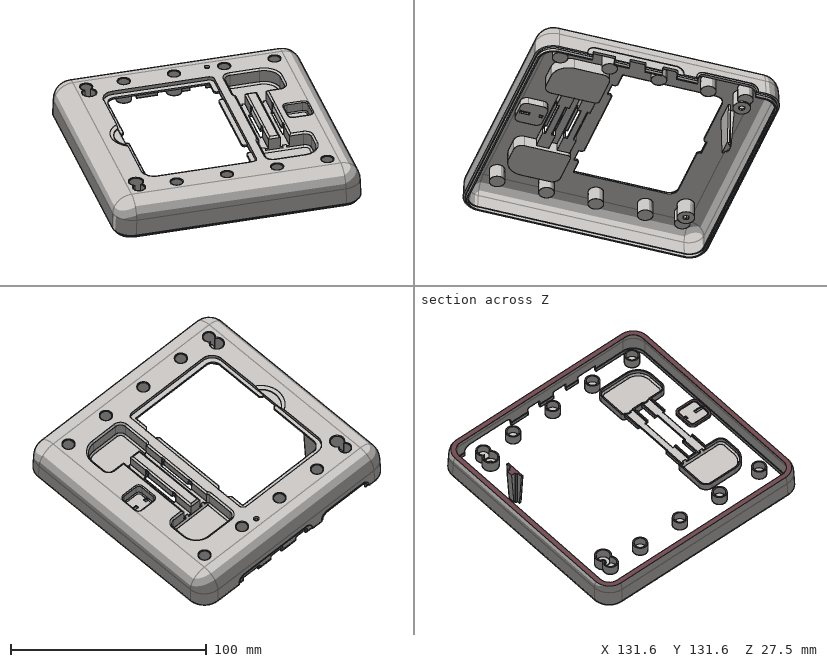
import cadquery as cq
import math

BASE_SIZE = 131.64
TOP_Z = 20.5
WALL_BASE_Z = 2.1
WALL_DRAFT = 2.0
EDGE_RADIUS = 10.0
WALL_THICKNESS = 2.0
PLATE_THICKNESS = 3.0
BUCKET_WALL = 1.0
INNER_PLATE_Z = TOP_Z - PLATE_THICKNESS
OVERCUT = 1.0

LIP_INSET = 1.07
LIP_CHAMFER = 0.6
LIP_CHAMFER_HEIGHT = 1.05
LIP_RIM = 0.4

WINDOW_X = 42.15
WINDOW_Y = (-44.8, 15.2)
WINDOW_RADII = (6.8, 6.8, 2.7, 2.7)
STEP_DEPTH = 2.0
OPENING_X = 39.3
OPENING_Y = (-42.7, 12.5)
OPENING_RADII = (5.0, 5.0, 0, 0)
TOP_NOTCH_X = 26.5
TOP_NOTCH_HALF = 3.7
BOTTOM_NOTCH_HALF = 4.45
NOTCH_FLARE = 1.0

THUMB_RADIUS = 12.4
THUMB_FLOOR_RADIUS = 10.5
THUMB_CENTER_Y = -38.5
THUMB_CONE_DEPTH = 0.8
THUMB_DEPTH = 1.2

POCKET_X = (-42.0, -22.2)
POCKET_Y = (20.6, 48.4)
POCKET_RADII = (3.6, 1.0, 3.4, 8.6)
POCKET_DEPTH = 8.5
WELL_CHAMFER = 1.0
CHANNEL_WIDTH = 4.85
CHANNEL_CENTERS = (35.25, 24.0)
CHANNEL_DEPTH = POCKET_DEPTH - 2 * WELL_CHAMFER
RAMP_WIDTH = 2.0
BAR_HALF_LENGTH = -POCKET_X[1]
SNAP_HALF_LENGTH = 8.85
SNAP_REACH = 0.5
SNAP_RECESS = 0.4
SNAP_DEPTH = 4.2
SNAP_BOTTOM_Z = TOP_Z - SNAP_DEPTH
SLIT_HALF_LENGTH = 11.0
BAR_SLIT_WIDTH = 1.07
SIDE_SLIT_WIDTH = SNAP_REACH

CLIP_X = 6.3
CLIP_Y = (42.2, 54.8)
CLIP_RADIUS = 2.2
CLIP_CHAMFER = 0.6
CLIP_DEPTH = 6.0
CLIP_SLOT_WIDTH = 1.6
CLIP_SLOTS_Y = ((42.5, 44.1), (49.5, 54.8))

CUP_X = 50.0
CUP_YS = (50.0, 23.33, -3.33, -30.0, -50.0)
CUP_RADIUS = 3.0
CUP_CHAMFER = 0.4
CUP_DEPTH = 10.0
SCREW_X = 44.2
SCREW_Y = -50.0
SCREW_HEAD_RADIUS = 3.5
SCREW_HEAD_DEPTH = 10.8
SCREW_HOLE_RADIUS = 1.6
PINHOLE_POSITION = (-51.5, 14.6)
PINHOLE_RADIUS = 0.8
PINHOLE_CHAMFER = 0.6

RELIEF_DEPTH = 0.5
RELIEF_TOP_Z = 7.0
RELIEF_RADIUS = 4.3
RELIEFS_Y = ((-11.6, 40.4), (-51.7, -18.4))
SIDE_OPENINGS = (
    (25.4, 37.3, 4.3, 0.3),
    (8.9, 17.4, 4.8, 0.5),
    (-8.3, -0.2, 4.8, 1.0),
    (-50.8, -19.4, 5.9, 3.5),
)

PIN_X = -29.5
PIN_BACK_Y = -45.8
PIN_BOTTOM_Z = -7.0
PIN_SLOPE = 0.07
PIN_BLADE = (8.5, 1.1)
PIN_STEP = (5.7, 2.1)
PIN_RIB = (3.75, 2.8)


def rounded_rect(x_range, y_range, radii, z):
    """Closed outline with corner radii ordered from (-x, -y) counter-clockwise."""
    x0, x1 = x_range
    y0, y1 = y_range
    corners = ((x0, y0, 180), (x1, y0, 270), (x1, y1, 0), (x0, y1, 90))
    outline = None
    for (x, y, start), radius in zip(corners, radii):
        center_x = x + radius * (1 if x == x0 else -1)
        center_y = y + radius * (1 if y == y0 else -1)
        points = []
        for angle in (start, start + 45, start + 90):
            turn = math.radians(angle)
            points.append((center_x + radius * math.cos(turn), center_y + radius * math.sin(turn)))
        if outline is None:
            outline = cq.Workplane("XY").workplane(offset=z).moveTo(*points[0])
        else:
            outline = outline.lineTo(*points[0])
        if radius > 0:
            outline = outline.threePointArc(points[1], points[2])
    return outline.close()


def box(x_range, y_range, z_range):
    return (
        cq.Workplane("XY")
        .box(x_range[1] - x_range[0], y_range[1] - y_range[0], z_range[1] - z_range[0], centered=False)
        .translate((x_range[0], y_range[0], z_range[0]))
    )


def cylinder(x, y, radius, z_range):
    return (
        cq.Workplane("XY").workplane(offset=z_range[0]).center(x, y)
        .circle(radius).extrude(z_range[1] - z_range[0])
    )


def both_sides(body):
    return body.union(body.mirror("YZ"))


def drafted_block(size, bottom_z, top_z, radius):
    """Square block with drafted sides and rounded upper and corner edges."""
    block = (
        cq.Workplane("XY").workplane(offset=bottom_z).rect(size, size)
        .extrude(top_z - bottom_z, taper=WALL_DRAFT)
    )
    return block.edges("not(<Z)").fillet(radius)


def make_shell():
    lip_size = BASE_SIZE - 2 * LIP_INSET
    cavity_size = BASE_SIZE - 2 * WALL_THICKNESS
    rim_size = cavity_size - 2 * LIP_RIM
    lip = (
        cq.Workplane("XY").rect(lip_size, lip_size).extrude(WALL_BASE_Z)
        .edges("|Z").fillet(EDGE_RADIUS - LIP_INSET)
        .faces("<Z").edges().chamfer(LIP_CHAMFER_HEIGHT, LIP_CHAMFER)
    )
    rim = (
        cq.Workplane("XY").rect(rim_size, rim_size).extrude(WALL_BASE_Z)
        .edges("|Z").fillet(EDGE_RADIUS - WALL_THICKNESS - LIP_RIM)
    )
    cavity = drafted_block(cavity_size, WALL_BASE_Z, INNER_PLATE_Z, EDGE_RADIUS - WALL_THICKNESS)
    outside = drafted_block(BASE_SIZE, WALL_BASE_Z, TOP_Z, EDGE_RADIUS)
    return outside.union(lip).cut(cavity).cut(rim)


def pocket_cut(x_range, y_range, radii, depth, chamfer):
    """Pocket with a chamfered mouth and a chamfered floor edge."""
    pocket = rounded_rect(x_range, y_range, radii, TOP_Z - depth).extrude(depth)
    pocket = pocket.faces("<Z").edges().chamfer(chamfer)
    mouth = rounded_rect(x_range, y_range, radii, TOP_Z - chamfer).extrude(chamfer, taper=-45)
    return pocket.union(mouth)


def bucket(x_range, y_range, radii, depth):
    """Solid surround of a pocket, hanging below the top plate."""
    bottom = TOP_Z - depth - BUCKET_WALL
    outline = rounded_rect(x_range, y_range, radii, bottom)
    return outline.offset2D(BUCKET_WALL).extrude(INNER_PLATE_Z + OVERCUT - bottom)


def channel_range(center):
    return (center - CHANNEL_WIDTH / 2, center + CHANNEL_WIDTH / 2)


def channel_cut(center):
    """Channel with a chamfered mouth and a small ramp down to each side pocket."""
    y_range = channel_range(center)
    floor_z = TOP_Z - CHANNEL_DEPTH
    channel = box((-BAR_HALF_LENGTH, BAR_HALF_LENGTH), y_range, (floor_z, TOP_Z))
    mouth = (
        cq.Workplane("XY").workplane(offset=TOP_Z - WELL_CHAMFER).center(0, center)
        .rect(2 * BAR_HALF_LENGTH, CHANNEL_WIDTH).extrude(WELL_CHAMFER, taper=-45)
    )
    ramp = (
        cq.Workplane("XZ").workplane(offset=-center)
        .polyline((
            (BAR_HALF_LENGTH, floor_z - WELL_CHAMFER),
            (BAR_HALF_LENGTH, floor_z),
            (BAR_HALF_LENGTH - WELL_CHAMFER, floor_z),
        ))
        .close().extrude(RAMP_WIDTH / 2, both=True)
    )
    return channel.union(mouth).union(both_sides(ramp))


def snap_walls():
    """Channel wall position, direction into the channel, and floor slit width."""
    north, south = (channel_range(center) for center in CHANNEL_CENTERS)
    return (
        (north[1], -1, SIDE_SLIT_WIDTH),
        (north[0], 1, BAR_SLIT_WIDTH),
        (south[1], -1, BAR_SLIT_WIDTH),
        (south[0], 1, SIDE_SLIT_WIDTH),
    )


def snap_slit(wall_y, inward, slit_width):
    """Opening through the wall and floor below a snap, with a shallow recess around the snap."""
    ends = sorted((wall_y + inward * slit_width, wall_y - inward * (BUCKET_WALL + SNAP_REACH)))
    bottom = TOP_Z - CHANNEL_DEPTH - 2 * BUCKET_WALL - WELL_CHAMFER
    x_range = (-SLIT_HALF_LENGTH, SLIT_HALF_LENGTH)
    slit = box(x_range, ends, (bottom, SNAP_BOTTOM_Z))
    recess_y = sorted((wall_y, wall_y - inward * SNAP_RECESS))
    return slit.union(box(x_range, recess_y, (SNAP_BOTTOM_Z, TOP_Z - WELL_CHAMFER)))


def snap_wedge(wall_y, inward):
    """Wedge that grows downward from the channel mouth."""
    root_y = wall_y - inward * BUCKET_WALL / 2
    mouth_z = TOP_Z - WELL_CHAMFER
    profile = (
        cq.Workplane("YZ").workplane(offset=-SNAP_HALF_LENGTH)
        .polyline((
            (root_y, mouth_z),
            (wall_y, mouth_z),
            (wall_y + inward * SNAP_REACH, SNAP_BOTTOM_Z),
            (root_y, SNAP_BOTTOM_Z),
        ))
        .close()
    )
    return profile.extrude(2 * SNAP_HALF_LENGTH)


def add_cable_well(body):
    """Two side pockets joined by two channels, with a hollow bar between the channels."""
    north, south = (channel_range(center) for center in CHANNEL_CENTERS)
    bar_y = (south[1], north[0])
    well_bottom = TOP_Z - CHANNEL_DEPTH - BUCKET_WALL
    trough = box(
        (-BAR_HALF_LENGTH, BAR_HALF_LENGTH),
        (south[0] - BUCKET_WALL, north[1] + BUCKET_WALL),
        (well_bottom, TOP_Z - OVERCUT),
    )
    bar_core = box(
        (-BAR_HALF_LENGTH + BUCKET_WALL, BAR_HALF_LENGTH - BUCKET_WALL),
        (bar_y[0] + BUCKET_WALL, bar_y[1] - BUCKET_WALL),
        (well_bottom - OVERCUT, INNER_PLATE_Z),
    )
    body = body.union(both_sides(bucket(POCKET_X, POCKET_Y, POCKET_RADII, POCKET_DEPTH)))
    body = body.union(trough)
    body = body.cut(both_sides(pocket_cut(POCKET_X, POCKET_Y, POCKET_RADII, POCKET_DEPTH, WELL_CHAMFER)))
    for center in CHANNEL_CENTERS:
        body = body.cut(channel_cut(center))
    body = body.cut(bar_core)
    for wall_y, inward, slit_width in snap_walls():
        body = body.cut(snap_slit(wall_y, inward, slit_width))
        body = body.union(snap_wedge(wall_y, inward))
    return body


def add_clip_pocket(body):
    x_range = (-CLIP_X, CLIP_X)
    radii = (CLIP_RADIUS,) * 4
    body = body.union(bucket(x_range, CLIP_Y, radii, CLIP_DEPTH))
    body = body.cut(pocket_cut(x_range, CLIP_Y, radii, CLIP_DEPTH, CLIP_CHAMFER))
    slot_x = (-CLIP_SLOT_WIDTH / 2, CLIP_SLOT_WIDTH / 2)
    slot_top = TOP_Z - CLIP_DEPTH + CLIP_CHAMFER
    for slot_y in CLIP_SLOTS_Y:
        body = body.cut(box(slot_x, slot_y, (slot_top - 2 * BUCKET_WALL, slot_top)))
    return body


def chamfered_hole(x, y, radius, depth, chamfer):
    hole = cylinder(x, y, radius, (TOP_Z - depth, TOP_Z))
    mouth = (
        cq.Workplane("XY").workplane(offset=TOP_Z - chamfer).center(x, y)
        .circle(radius).extrude(chamfer, taper=-45)
    )
    return hole.union(mouth)


def add_round_holes(body):
    """Blind cups along both sides, screw holes at the lower corners and one small pinhole."""
    holes = [(CUP_X, y, CUP_RADIUS, CUP_DEPTH) for y in CUP_YS]
    holes.append((SCREW_X, SCREW_Y, SCREW_HEAD_RADIUS, SCREW_HEAD_DEPTH))
    for x, y, radius, depth in holes:
        height_range = (TOP_Z - depth - BUCKET_WALL, INNER_PLATE_Z + OVERCUT)
        body = body.union(both_sides(cylinder(x, y, radius + BUCKET_WALL, height_range)))
    for x, y, radius, depth in holes:
        body = body.cut(both_sides(chamfered_hole(x, y, radius, depth, CUP_CHAMFER)))
    screw_bottom = TOP_Z - SCREW_HEAD_DEPTH - BUCKET_WALL
    screw_hole = cylinder(SCREW_X, SCREW_Y, SCREW_HOLE_RADIUS, (screw_bottom, TOP_Z))
    body = body.cut(both_sides(screw_hole))
    return body.cut(chamfered_hole(*PINHOLE_POSITION, PINHOLE_RADIUS, PLATE_THICKNESS, PINHOLE_CHAMFER))


def notch_cut(center_x, half_width, deep_y, open_y):
    """Gap in the window ledge that flares where it meets the opening."""
    outward = math.copysign(1, open_y - deep_y)
    flare_y = open_y - outward * NOTCH_FLARE
    right_side = (
        (half_width, deep_y),
        (half_width, flare_y),
        (half_width + NOTCH_FLARE, open_y),
        (half_width + NOTCH_FLARE, open_y + outward),
    )
    left_side = tuple((-x, y) for x, y in reversed(right_side))
    points = [(center_x + x, y) for x, y in right_side + left_side]
    profile = cq.Workplane("XY").workplane(offset=INNER_PLATE_Z - OVERCUT).polyline(points).close()
    return profile.extrude(PLATE_THICKNESS + OVERCUT)


def cut_window(body):
    step_z = TOP_Z - STEP_DEPTH
    step = rounded_rect((-WINDOW_X, WINDOW_X), WINDOW_Y, WINDOW_RADII, step_z).extrude(STEP_DEPTH)
    opening = rounded_rect((-OPENING_X, OPENING_X), OPENING_Y, OPENING_RADII, INNER_PLATE_Z - OVERCUT)
    body = body.cut(step).cut(opening.extrude(PLATE_THICKNESS + OVERCUT))
    top_notch = notch_cut(TOP_NOTCH_X, TOP_NOTCH_HALF, WINDOW_Y[1], OPENING_Y[1])
    bottom_notch = notch_cut(0, BOTTOM_NOTCH_HALF, WINDOW_Y[0], OPENING_Y[0])
    return body.cut(both_sides(top_notch)).cut(bottom_notch)


def cut_thumb_recess(body):
    """Dished half-round finger recess at the lower edge of the window."""
    recess = (
        cq.Workplane("XZ")
        .polyline((
            (0, TOP_Z),
            (THUMB_RADIUS, TOP_Z),
            (THUMB_FLOOR_RADIUS, TOP_Z - THUMB_CONE_DEPTH),
            (THUMB_FLOOR_RADIUS, TOP_Z - THUMB_DEPTH),
            (0, TOP_Z - THUMB_DEPTH),
        ))
        .close().revolve(360, (0, 0), (0, 1)).translate((0, THUMB_CENTER_Y, 0))
    )
    below_edge = box((-THUMB_RADIUS, THUMB_RADIUS), (-BASE_SIZE / 2, WINDOW_Y[0]), (0, TOP_Z))
    return body.cut(recess.intersect(below_edge))


def side_arch(y_range, top_z, radius, depth):
    """Arched cutter entering the -X wall from outside to the given depth."""
    outer_x = -BASE_SIZE / 2
    arch = box((outer_x - OVERCUT, outer_x + depth), y_range, (-OVERCUT, top_z))
    return arch.edges("|X and >Z").fillet(radius)


def cut_side_wall(body):
    for y_range in RELIEFS_Y:
        body = body.cut(side_arch(y_range, RELIEF_TOP_Z, RELIEF_RADIUS, RELIEF_DEPTH))
    through = WALL_THICKNESS + LIP_RIM + OVERCUT
    for low_y, high_y, top_z, radius in SIDE_OPENINGS:
        body = body.cut(side_arch((low_y, high_y), top_z, radius, through))
    return body


def add_pin(body):
    """Stepped pin below the plate, tapering toward its tip."""
    height = INNER_PLATE_Z + OVERCUT / 2 - PIN_BOTTOM_Z
    growth = height * PIN_SLOPE
    width, thickness = PIN_BLADE
    blade = (
        cq.Workplane("XZ").workplane(offset=-PIN_BACK_Y)
        .polyline((
            (PIN_X - width / 2, PIN_BOTTOM_Z),
            (PIN_X + width / 2, PIN_BOTTOM_Z),
            (PIN_X + width / 2 + growth, PIN_BOTTOM_Z + height),
            (PIN_X - width / 2 - growth, PIN_BOTTOM_Z + height),
        ))
        .close().extrude(thickness)
    )
    width, thickness = PIN_STEP
    step = box(
        (PIN_X - width / 2, PIN_X + width / 2),
        (PIN_BACK_Y - thickness, PIN_BACK_Y),
        (PIN_BOTTOM_Z, PIN_BOTTOM_Z + height),
    )
    width, thickness = PIN_RIB
    rib = (
        cq.Workplane("YZ").workplane(offset=PIN_X - width / 2)
        .polyline((
            (PIN_BACK_Y, PIN_BOTTOM_Z),
            (PIN_BACK_Y - thickness, PIN_BOTTOM_Z),
            (PIN_BACK_Y - thickness - growth, PIN_BOTTOM_Z + height),
            (PIN_BACK_Y, PIN_BOTTOM_Z + height),
        ))
        .close().extrude(width)
    )
    return body.union(blade).union(step).union(rib)


cover = make_shell()
cover = add_cable_well(cover)
cover = add_clip_pocket(cover)
cover = add_round_holes(cover)
cover = cut_window(cover)
cover = cut_thumb_recess(cover)
cover = cut_side_wall(cover)
result = add_pin(cover)